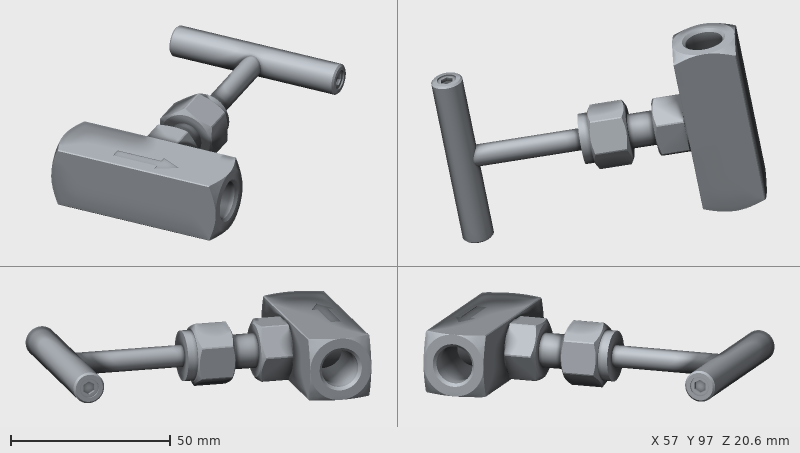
import cadquery as cq
import math

body_length = 57.0
body_width = 20.0
body_edge_chamfer = 0.3
turning_angle = 30

port_diameter = 11.9
port_mouth_diameter = 13.8
bonnet_stub_diameter = 16.0

hex_flats = 18.0
hex_corner_diameter = 20.6
hex_face_diameter = 16.9
packing_nut_twist = 26

body_side = body_width / 2
overall_length = 97
bonnet_hex_start = body_side + 0.5
bonnet_hex_end = 20.3
packing_nut_start = 28.6
packing_nut_end = 40.8
collar_end = 43.9

bonnet_neck_diameter = 11.0
collar_diameter = 16.0
stem_diameter = 7.0

handle_diameter = 10.0
handle_length = body_length
handle_chamfer = 0.6
handle_y = overall_length - body_side - handle_diameter / 2

screw_hole_diameter = 6.2
screw_hole_depth = 0.5
socket_flats = 3.7
socket_depth = 1.2

arrow_start = -9.1
arrow_neck = 6.0
arrow_tip = 12.8
arrow_y = -3.8
arrow_shaft_width = 3.3
arrow_head_width = 7.2
arrow_depth = 0.2


def y_cylinder(diameter, start, end):
    """Cylinder on the stem axis between two Y stations."""
    plane = cq.Workplane("XZ", origin=(0, start, 0))
    return plane.circle(diameter / 2).extrude(start - end)


def turned_blank(axis_plane, start, end, radius, start_face_radius, end_face_radius):
    """Round blank along the plane's local X, with sloped rims down to the two face radii."""
    slope = math.tan(math.radians(turning_angle))
    start_drop = (radius - start_face_radius) * slope
    end_drop = (radius - end_face_radius) * slope
    outline = cq.Workplane(axis_plane).moveTo(start, 0).lineTo(start, start_face_radius)
    if start_drop > 0:
        outline = outline.lineTo(start + start_drop, radius)
    outline = outline.lineTo(end - end_drop, radius)
    outline = outline.lineTo(end, end_face_radius).lineTo(end, 0).close()
    return outline.revolve(360, (0, 0), (1, 0))


def turned_hexagon(start, end, twist, start_face_diameter):
    """Hexagon along Y with its corners turned down; at no twist two corners lie on X."""
    corner_to_corner = hex_flats / math.cos(math.pi / 6)
    prism = (
        cq.Workplane("XZ", origin=(0, start, 0))
        .polygon(6, corner_to_corner)
        .extrude(start - end)
        .rotate((0, 0, 0), (0, 1, 0), twist)
    )
    blank = turned_blank(
        "YZ", start, end, hex_corner_diameter / 2, start_face_diameter / 2, hex_face_diameter / 2
    )
    return prism.intersect(blank)


def make_body():
    """Square bar with chamfered long edges and turned-down end corners."""
    bar = cq.Workplane("XY").box(body_length, body_width, body_width)
    bar = bar.edges("|X").chamfer(body_edge_chamfer)
    half_length = body_length / 2
    blank = turned_blank("XY", -half_length, half_length, body_width, body_side, body_side)
    return bar.intersect(blank)


def make_ports():
    """Bore with 45 degree mouths, interrupted in the middle by the bonnet stub."""
    half_length = body_length / 2
    mouth_depth = (port_mouth_diameter - port_diameter) / 2
    bore = (
        cq.Workplane("XY")
        .moveTo(-half_length, 0)
        .lineTo(-half_length, port_mouth_diameter / 2)
        .lineTo(-half_length + mouth_depth, port_diameter / 2)
        .lineTo(half_length - mouth_depth, port_diameter / 2)
        .lineTo(half_length, port_mouth_diameter / 2)
        .lineTo(half_length, 0)
        .close()
        .revolve(360, (0, 0), (1, 0))
    )
    return bore.cut(y_cylinder(bonnet_stub_diameter, -body_side, body_side))


def make_arrow():
    """Arrow pocket pointing along +X in the top face."""
    half_shaft = arrow_shaft_width / 2
    half_head = arrow_head_width / 2
    return (
        cq.Workplane("XY", origin=(0, arrow_y, body_width / 2))
        .moveTo(arrow_start, -half_shaft)
        .lineTo(arrow_neck, -half_shaft)
        .lineTo(arrow_neck, -half_head)
        .lineTo(arrow_tip, 0)
        .lineTo(arrow_neck, half_head)
        .lineTo(arrow_neck, half_shaft)
        .lineTo(arrow_start, half_shaft)
        .close()
        .extrude(-arrow_depth)
    )


def make_bonnet():
    """Bonnet hexagon with its seat on the body and its neck."""
    seat = y_cylinder(hex_flats, body_side, bonnet_hex_start)
    hexagon = turned_hexagon(bonnet_hex_start, bonnet_hex_end, 0, hex_corner_diameter)
    neck = y_cylinder(bonnet_neck_diameter, bonnet_hex_end, packing_nut_start)
    return seat.union(hexagon).union(neck)


def make_packing_nut():
    """Twisted hexagon nut with a round collar towards the handle."""
    hexagon = turned_hexagon(packing_nut_start, packing_nut_end, packing_nut_twist, hex_face_diameter)
    collar = y_cylinder(collar_diameter, packing_nut_end, collar_end)
    return hexagon.union(collar)


def make_handle():
    """Cross bar with chamfered ends and a recessed socket screw in each end."""
    half_length = handle_length / 2
    plane = cq.Workplane("YZ", origin=(-half_length, handle_y, 0))
    bar = plane.circle(handle_diameter / 2).extrude(handle_length)
    bar = bar.faces("<X or >X").chamfer(handle_chamfer)
    socket_corners = socket_flats / math.cos(math.pi / 6)
    recess = plane.circle(screw_hole_diameter / 2).extrude(screw_hole_depth)
    socket = (
        plane.transformed(rotate=(0, 0, 90))
        .polygon(6, socket_corners)
        .extrude(screw_hole_depth + socket_depth)
    )
    screw_cut = recess.union(socket)
    return bar.cut(screw_cut).cut(screw_cut.mirror("YZ"))


stem = y_cylinder(stem_diameter, collar_end, handle_y)

result = (
    make_body()
    .cut(make_ports())
    .cut(make_arrow())
    .union(make_bonnet())
    .union(make_packing_nut())
    .union(stem)
    .union(make_handle())
)